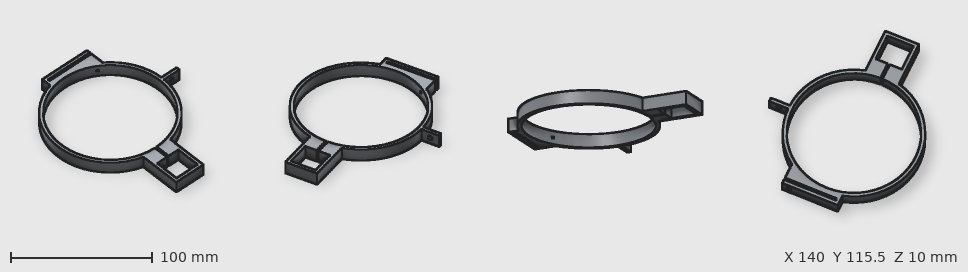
import cadquery as cq

height = 10.0
wall = 3.0
inner_radius = 47.5
outer_radius = inner_radius + wall
tab_end_y = 65.0

box_end_x = 83.0
box_half_width = 13.0
window_length = 20.0
window_end_x = box_end_x - wall
window_start_x = window_end_x - window_length
window_half_width = box_half_width - wall
gap_half_width = 0.8

block_start_x = -57.0
block_top_y = 30.0
block_bottom_y = -box_half_width
slot_width = 1.7
slot_start_x = block_start_x + wall
slot_end_x = slot_start_x + slot_width

clearance_diameter = 3.5
pilot_diameter = 1.5
block_hole_inset = 5.0
block_hole_y = block_top_y - block_hole_inset
tab_hole_inset = 7.4
tab_hole_y = tab_end_y - tab_hole_inset


def plate(x_min, x_max, y_min, y_max):
    """Rectangular plate of full height between the given limits."""
    return (
        cq.Workplane("XY")
        .rect(x_max - x_min, y_max - y_min)
        .extrude(height)
        .translate(((x_min + x_max) / 2, (y_min + y_max) / 2, 0))
    )


def hole_along_x(diameter, x_min, x_max, y):
    """Cylinder along X at mid-height, used as a cutter."""
    return (
        cq.Workplane("YZ", origin=(x_min, y, height / 2))
        .circle(diameter / 2)
        .extrude(x_max - x_min)
    )


body = cq.Workplane("XY").circle(outer_radius).extrude(height)
body = body.union(plate(-wall / 2, wall / 2, 0, tab_end_y))
body = body.union(plate(0, box_end_x, -box_half_width, box_half_width))
body = body.union(plate(block_start_x, 0, block_bottom_y, block_top_y))
body = body.cut(cq.Workplane("XY").circle(inner_radius).extrude(height))

body = body.cut(plate(window_start_x, window_end_x, -window_half_width, window_half_width))
body = body.cut(plate(0, window_start_x, -gap_half_width, gap_half_width))

body = body.cut(plate(slot_start_x, slot_end_x, block_bottom_y + wall, block_top_y))

body = body.cut(hole_along_x(clearance_diameter, -wall, wall, tab_hole_y))
body = body.cut(hole_along_x(clearance_diameter, block_start_x, slot_start_x, block_hole_y))
body = body.cut(hole_along_x(pilot_diameter, slot_start_x, 0, block_hole_y))

result = body